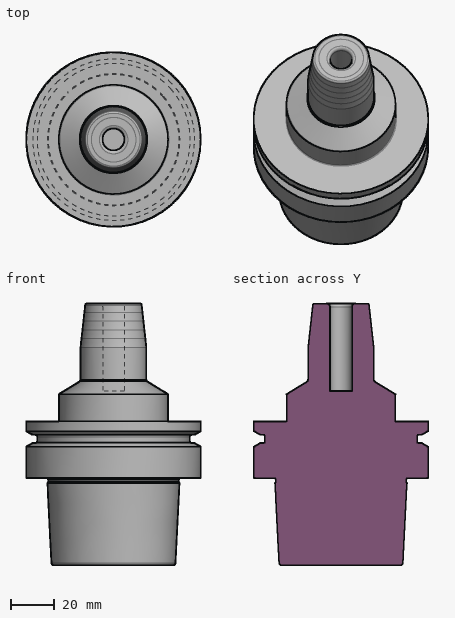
import cadquery as cq
import math


FLANGE_RADIUS = 40.0
FLANGE_HEIGHT = 26.0
FLANGE_EDGE_CHAMFER = 0.3
GROOVE_CENTER_Z = 18.0
GROOVE_FLOOR_RADIUS = 35.0
GROOVE_HALF_WIDTH = 1.8
GROOVE_FLANK_RADIUS = 37.0
GROOVE_FLANK_ANGLE = 30.0
GROOVE_FILLET = 0.7

TAPER_LENGTH = 39.9
TAPER_TOP_RADIUS = 30.28
TAPER_TOP_Z = -2.2
TAPER_RATIO = 0.1
TAPER_END_RADIUS = 1.3
UNDERCUT_RADIUS = 29.9
UNDERCUT_TOP_Z = -0.7
UNDERCUT_BOTTOM_Z = -1.6

BODY_RADIUS = 25.0
BODY_ROOT_FILLET = 0.3
BODY_TOP_CHAMFER = 0.3
CONE_BASE_Z = 38.7
CONE_TOP_Z = 44.3

NECK_RADIUS = 15.1
NECK_ROOT_FILLET = 0.8
NOSE_TOP_Z = 80.0
NOSE_TOP_RADIUS = 12.9
NOSE_RIM_FILLET = 0.8
NOSE_BAND_HEIGHT = 4.0
NOSE_BAND_COUNT = 5
NOSE_BASE_Z = NOSE_TOP_Z - NOSE_BAND_COUNT * NOSE_BAND_HEIGHT
FACE_RING_RADIUS = 10.2

BORE_RADIUS = 5.0
BORE_DEPTH = 40.0
BORE_MOUTH_FILLET = 1.5


def revolve(profile):
    """Turn a closed radius-height profile about Z, keeping boundaries between flush faces."""
    return profile.close().revolve(360, (0, 0, 0), (0, 1, 0), clean=False)


def make_taper():
    """Spindle taper with an undercut beneath the flange and a rounded lower end."""
    drop = TAPER_LENGTH + TAPER_TOP_Z
    bottom_radius = TAPER_TOP_RADIUS - drop * TAPER_RATIO / 2
    profile = (
        cq.Workplane("XZ")
        .lineTo(TAPER_TOP_RADIUS, 0)
        .lineTo(UNDERCUT_RADIUS, UNDERCUT_TOP_Z)
        .lineTo(UNDERCUT_RADIUS, UNDERCUT_BOTTOM_Z)
        .lineTo(TAPER_TOP_RADIUS, TAPER_TOP_Z)
        .lineTo(bottom_radius, -TAPER_LENGTH)
        .lineTo(0, -TAPER_LENGTH)
    )
    return revolve(profile).faces("<Z").edges().fillet(TAPER_END_RADIUS)


def make_flange():
    """Flange disc with a chamfered seating edge."""
    disc = cq.Workplane("XY").circle(FLANGE_RADIUS).extrude(FLANGE_HEIGHT)
    return disc.faces("<Z").edges().chamfer(FLANGE_EDGE_CHAMFER)


def make_gripper_groove():
    """Ring cut from the flange: a square slot with filleted floor and flared flanks."""
    flank_rise = (FLANGE_RADIUS - GROOVE_FLANK_RADIUS) * math.tan(math.radians(GROOVE_FLANK_ANGLE))
    slot_bottom = GROOVE_CENTER_Z - GROOVE_HALF_WIDTH
    slot_top = GROOVE_CENTER_Z + GROOVE_HALF_WIDTH
    profile = (
        cq.Workplane("XZ")
        .moveTo(GROOVE_FLOOR_RADIUS, slot_bottom)
        .lineTo(GROOVE_FLANK_RADIUS, slot_bottom)
        .lineTo(FLANGE_RADIUS, slot_bottom - flank_rise)
        .lineTo(FLANGE_RADIUS, slot_top + flank_rise)
        .lineTo(GROOVE_FLANK_RADIUS, slot_top)
        .lineTo(GROOVE_FLOOR_RADIUS, slot_top)
    )
    floor_corners = cq.selectors.RadiusNthSelector(0)
    return revolve(profile).edges("%CIRCLE").edges(floor_corners).fillet(GROOVE_FILLET)


def make_body():
    """Cylindrical body and cone rising from the flange up to the neck."""
    neck_root_radius = NECK_RADIUS + NECK_ROOT_FILLET / 2
    root_top = FLANGE_HEIGHT + BODY_ROOT_FILLET
    profile = (
        cq.Workplane("XZ")
        .lineTo(BODY_RADIUS + BODY_ROOT_FILLET, 0)
        .lineTo(BODY_RADIUS + BODY_ROOT_FILLET, FLANGE_HEIGHT)
        .radiusArc((BODY_RADIUS, root_top), BODY_ROOT_FILLET)
        .lineTo(BODY_RADIUS, CONE_BASE_Z - BODY_TOP_CHAMFER)
        .lineTo(BODY_RADIUS - BODY_TOP_CHAMFER, CONE_BASE_Z)
        .lineTo(neck_root_radius, CONE_TOP_Z)
        .lineTo(NECK_RADIUS, CONE_TOP_Z + NECK_ROOT_FILLET)
        .lineTo(0, CONE_TOP_Z + NECK_ROOT_FILLET)
    )
    return revolve(profile)


def make_nose():
    """Straight neck and tapered nose, divided into bands, with a rounded rim."""
    taper_slope = (NECK_RADIUS - NOSE_TOP_RADIUS) / (NOSE_TOP_Z - NOSE_BASE_Z)
    profile = (
        cq.Workplane("XZ")
        .moveTo(0, FLANGE_HEIGHT)
        .lineTo(NECK_RADIUS, FLANGE_HEIGHT)
        .lineTo(NECK_RADIUS, NOSE_BASE_Z)
    )
    for band in range(1, NOSE_BAND_COUNT):
        rise = band * NOSE_BAND_HEIGHT
        profile = profile.lineTo(NECK_RADIUS - rise * taper_slope, NOSE_BASE_Z + rise)
    profile = (
        profile
        .lineTo(NOSE_TOP_RADIUS + NOSE_RIM_FILLET * taper_slope, NOSE_TOP_Z - NOSE_RIM_FILLET)
        .tangentArcPoint((NOSE_TOP_RADIUS - NOSE_RIM_FILLET, NOSE_TOP_Z), relative=False)
        .lineTo(FACE_RING_RADIUS, NOSE_TOP_Z)
        .lineTo(0, NOSE_TOP_Z)
    )
    return revolve(profile)


def make_bore():
    """Blind tool bore with a rounded mouth."""
    profile = (
        cq.Workplane("XZ")
        .moveTo(0, NOSE_TOP_Z)
        .lineTo(BORE_RADIUS + BORE_MOUTH_FILLET, NOSE_TOP_Z)
        .radiusArc((BORE_RADIUS, NOSE_TOP_Z - BORE_MOUTH_FILLET), -BORE_MOUTH_FILLET)
        .lineTo(BORE_RADIUS, NOSE_TOP_Z - BORE_DEPTH)
        .lineTo(0, NOSE_TOP_Z - BORE_DEPTH)
    )
    return revolve(profile)


result = make_flange().cut(make_gripper_groove())
for section in (make_taper(), make_body(), make_nose()):
    result = result.union(section, clean=False)
result = result.cut(make_bore(), clean=False)